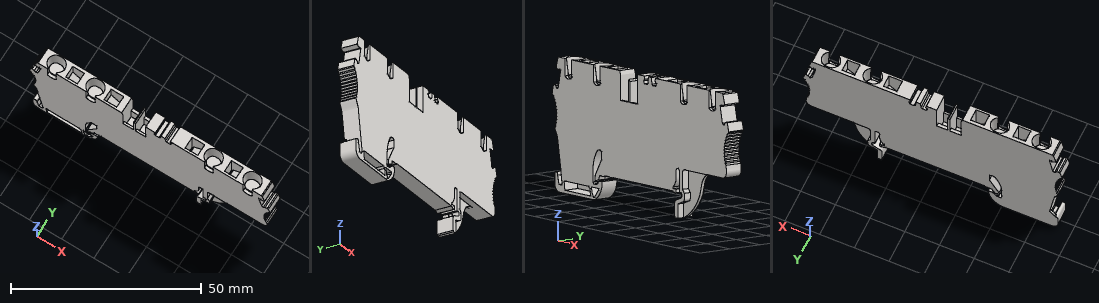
import cadquery as cq
import math

half_length = 37.4
thickness = 5.0
height = 36.0
front_y = -thickness / 2
back_y = thickness / 2
web_thickness = 0.7
latch_web_thickness = 1.05
web_overlap = 0.75

rail_face_z = 7.0
body_bottom_z = 13.4

grip_top = (37.2, 25.8)
grip_middle = (35.65, 21.3)
grip_bottom = (36.25, 17.05)
tooth_count = 10
tooth_depth = 0.26

well_centers_x = (18.3, 30.35)
well_floor_z = 31.4
well_radius = 2.25
well_length = 5.15
well_center_y = -0.1
well_taper_angle = 7.0
window_width = 2.8
window_bottom_z = 30.7
window_depth = 0.9
lever_pockets_x = ((10.6, 14.5), (22.8, 26.4))
cavity_width = 3.45
cavity_center_y = -0.15
pocket_step_width = 0.45
pocket_step_drop = 0.6
pocket_shallow_depth = 4.5
pocket_floor_angle = 36.0

slot_left_x = -8.3
slot_right_x = -1.3
slot_floor_z = 28.1
slot_chamfer = (0.4, 1.2)
blade_x = -4.7
blade_width = 0.7
blade_shoulder_z = 33.7
blade_tip_z = 34.2
slot_recess_depth = 4.5

notch_center_x = 4.07
notch_floor_z = 33.9
tongue_half_width = 0.7
notch_wall_offset = 2.3
notch_undercut = 0.4
notch_undercut_z = 34.7
notch_lip = 0.15
notch_lip_z = 35.2
tongue_taper = 0.15
tongue_foot = 0.4


def slab(outline, y_from, y_to):
    """Extrude a closed XZ wire between two Y positions."""
    return outline(cq.Workplane("XZ", origin=(0, y_to, 0))).close().extrude(y_to - y_from)


def polygon(points, y_from=front_y, y_to=back_y):
    """Prism on a closed XZ polygon."""
    return slab(lambda plane: plane.polyline(points), y_from, y_to)


def box(x_from, x_to, y_from, y_to, z_from, z_to):
    """Box between the given limits."""
    size = (x_to - x_from, y_to - y_from, z_to - z_from)
    return cq.Workplane("XY").box(*size, centered=False).translate((x_from, y_from, z_from))


def line_through(plane, points):
    """Draw straight segments from the current point through each given point."""
    for point in points:
        plane = plane.lineTo(*point)
    return plane


def grip_points():
    """Saw-tooth points along the circle through the three grip points, top to bottom."""
    (x1, z1), (x2, z2), (x3, z3) = grip_top, grip_middle, grip_bottom
    d = 2 * (x1 * (z2 - z3) + x2 * (z3 - z1) + x3 * (z1 - z2))
    s1, s2, s3 = x1**2 + z1**2, x2**2 + z2**2, x3**2 + z3**2
    center_x = (s1 * (z2 - z3) + s2 * (z3 - z1) + s3 * (z1 - z2)) / d
    center_z = (s1 * (x3 - x2) + s2 * (x1 - x3) + s3 * (x2 - x1)) / d
    radius = math.hypot(x1 - center_x, z1 - center_z)
    points = []
    for i in range(2 * tooth_count + 1):
        z = z1 + (z3 - z1) * i / (2 * tooth_count)
        x = center_x - math.sqrt(radius**2 - (z - center_z) ** 2)
        points.append((x - tooth_depth * (i % 2), z))
    return points


def end_profile(side):
    """Upper end of the body from the top face down to the last grip tooth (side is -1 or 1)."""
    hooks = [
        (34.6, height),
        (34.9, 35.7),
        (35.65, 33.1),
        (34.4, 32.4),
        (34.3, 32.8),
        (33.7, 32.65),
        (34.7, 28.0),
        (35.2, 27.6),
        (35.7, 28.25),
        (36.4, 28.55),
        (36.8, 28.5),
        (36.85, 28.0),
        (half_length, 26.1),
    ]
    return [(side * x, z) for x, z in hooks + grip_points()]


def body_outline(plane):
    """Full-thickness outline, drawn down the left end, along the underside and up the right end."""
    left_end = end_profile(-1)
    right_end = end_profile(1)[::-1]
    outline = (
        line_through(plane.moveTo(*left_end[0]), left_end[1:])
        .lineTo(-35.95, 16.4)
        .lineTo(-35.35, 15.25)
        .threePointArc((-35.2, 14.95), (-35.05, 14.6))
        .lineTo(-33.0, 2.6)
        .lineTo(-33.25, 2.1)
        .lineTo(-34.3, 2.1)
        .lineTo(-34.9, 4.5)
        .threePointArc((-35.5, 5.4), (-36.2, 4.6))
        .lineTo(-36.2, 1.95)
        .threePointArc((-35.6, 0.6), (-34.2, 0))
        .lineTo(-19.6, 0)
        .threePointArc((-17.35, 1.65), (-16.15, 4.5))
        .lineTo(-16.1, 5.4)
        .lineTo(-17.4, 5.4)
        .lineTo(-18.15, 4.6)
        .lineTo(-18.7, 4.25)
        .lineTo(-19.7, 4.25)
        .lineTo(-19.95, 4.8)
        .lineTo(-19.95, 8.0)
        .threePointArc((-19.35, 11.2), (-18.2, 13.2))
        .threePointArc((-17.35, 13.7), (-16.45, 13.3))
        .lineTo(-16.45, 11.05)
        .lineTo(-19.2, 6.4)
        .lineTo(-19.2, 4.9)
        .lineTo(-18.6, 4.9)
        .lineTo(-18.6, 5.4)
        .lineTo(-17.65, 5.6)
        .lineTo(-17.2, 6.8)
        .lineTo(-15.0, 6.8)
        .lineTo(-15.0, rail_face_z)
        .lineTo(13.45, rail_face_z)
        .lineTo(14.7, 6.6)
        .lineTo(15.2, 6.8)
        .lineTo(15.2, 7.7)
        .lineTo(13.8, 7.7)
        .lineTo(13.8, 8.15)
        .threePointArc((14.8, 9.35), (15.2, 11.0))
        .lineTo(15.2, 12.85)
        .threePointArc((15.85, body_bottom_z), (16.5, 12.85))
        .lineTo(16.5, rail_face_z)
        .lineTo(17.1, rail_face_z)
        .threePointArc((17.5, 6.35), (17.3, 5.75))
        .lineTo(15.4, 5.0)
        .threePointArc((14.7, 4.6), (14.4, 3.8))
        .lineTo(14.4, 0.3)
        .lineTo(14.7, 0)
        .lineTo(15.85, 0)
        .lineTo(15.85, 3.9)
        .lineTo(17.9, 4.7)
        .threePointArc((18.45, 5.1), (18.6, 5.6))
        .lineTo(18.6, 7.1)
        .lineTo(17.9, 8.1)
        .lineTo(17.9, 12.7)
        .threePointArc((18.1, 13.15), (18.6, body_bottom_z))
        .lineTo(35.0, body_bottom_z)
        .threePointArc((35.95, 14.0), (36.4, 15.3))
        .lineTo(36.3, 16.0)
    )
    return line_through(outline, right_end)


def latch_web(plane):
    """Rib bracing the right latch against the body underside."""
    return (
        plane.moveTo(15.85, 0)
        .threePointArc((19.95, 2.9), (22.65, 6.95))
        .lineTo(23.3, 9.4)
        .threePointArc((24.8, 12.2), (27.8, body_bottom_z))
        .lineTo(27.8, body_bottom_z + web_overlap)
        .lineTo(17.2, body_bottom_z + web_overlap)
        .lineTo(17.2, 4.7)
        .lineTo(15.85, 3.9)
    )


def top_slot():
    """Slot with an upright blade left standing and a recess sunk into its floor."""
    chamfer_x, chamfer_z = slot_chamfer
    opening = polygon([
        (slot_left_x - chamfer_x, height),
        (slot_left_x, height - chamfer_z),
        (slot_left_x, slot_floor_z),
        (slot_right_x, slot_floor_z),
        (slot_right_x, height),
    ])
    recess = box(
        slot_left_x, slot_right_x,
        cavity_center_y - cavity_width / 2, cavity_center_y + cavity_width / 2,
        slot_floor_z - slot_recess_depth, slot_floor_z,
    )
    blade_left = blade_x - blade_width / 2
    blade_right = blade_x + blade_width / 2
    blade = polygon([
        (blade_left, slot_floor_z - slot_recess_depth),
        (blade_left, blade_shoulder_z),
        (blade_x, blade_tip_z),
        (blade_right, blade_shoulder_z),
        (blade_right, slot_floor_z - slot_recess_depth),
    ])
    return opening.union(recess).cut(blade)


def marker_notch(side):
    """Undercut notch beside the central tongue (side is -1 or 1)."""
    offsets = [
        (tongue_half_width, height),
        (tongue_half_width + tongue_taper, notch_floor_z + tongue_foot),
        (tongue_half_width + tongue_taper + tongue_foot, notch_floor_z),
        (notch_wall_offset, notch_floor_z),
        (notch_wall_offset + notch_undercut, notch_undercut_z),
        (notch_wall_offset - notch_lip, notch_lip_z),
        (notch_wall_offset, height),
    ]
    return polygon([(notch_center_x + side * x, z) for x, z in offsets])


def wire_well(center_x):
    """Tapered obround well, open to the front through a round-bottomed window."""
    well = (
        cq.Workplane("XY", origin=(center_x, well_center_y, height))
        .slot2D(well_length, 2 * well_radius)
        .extrude(well_floor_z - height, taper=well_taper_angle)
    )
    left = center_x - window_width / 2
    right = center_x + window_width / 2
    window = slab(
        lambda plane: plane.moveTo(left, height)
        .lineTo(left, well_floor_z)
        .threePointArc((center_x, window_bottom_z), (right, well_floor_z))
        .lineTo(right, height),
        front_y, front_y + window_depth,
    )
    return well.union(window)


def lever_pocket(side, inner_x, outer_x):
    """Square pocket whose floor slopes down towards the middle and ends in a small step."""
    slope = math.tan(math.radians(pocket_floor_angle))
    step_x = inner_x + pocket_step_width
    outer_z = height - pocket_shallow_depth
    step_z = outer_z - (outer_x - step_x) * slope
    low_z = step_z - pocket_step_drop
    points = [
        (outer_x, height),
        (outer_x, outer_z),
        (step_x, step_z),
        (step_x, low_z),
        (inner_x, low_z - pocket_step_width * slope),
        (inner_x, height),
    ]
    return polygon(
        [(side * x, z) for x, z in points],
        cavity_center_y - cavity_width / 2, cavity_center_y + cavity_width / 2,
    )


def foot_pockets():
    """Long pocket and three-sided pocket in the left foot, both closed by the back web."""
    floor_y = back_y - web_thickness
    long_pocket = polygon(
        [(-32.15, 3.15), (-31.9, 3.4), (-21.8, 3.4), (-21.3, 2.85), (-21.0, 0.9), (-31.85, 0.9)],
        front_y, floor_y,
    )
    corner_pocket = polygon(
        [(-20.6, 3.4), (-17.65, 3.4), (-17.7, 2.85), (-19.35, 0.75), (-19.7, 0.7), (-20.3, 1.9)],
        front_y, floor_y,
    )
    return long_pocket.union(corner_pocket)


body = slab(body_outline, front_y, back_y)

left_web = [(-35.6, 5.3), (-33.8, 7.0), (-32.65, 1.9), (-34.5, 1.9)]
body = body.union(slab(latch_web, -latch_web_thickness / 2, latch_web_thickness / 2))
body = body.union(polygon(left_web, back_y - web_thickness, back_y))

body = body.cut(foot_pockets())
body = body.cut(top_slot())
for mirror_side in (-1, 1):
    body = body.cut(marker_notch(mirror_side))
    for well_x in well_centers_x:
        body = body.cut(wire_well(mirror_side * well_x))
    for pocket_inner_x, pocket_outer_x in lever_pockets_x:
        body = body.cut(lever_pocket(mirror_side, pocket_inner_x, pocket_outer_x))

result = body